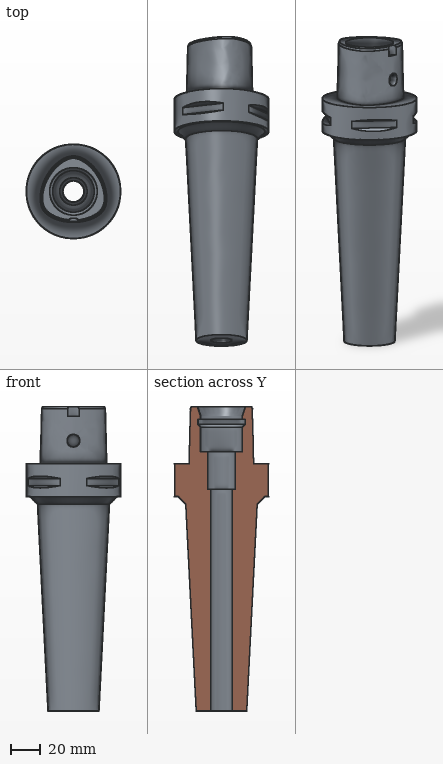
import cadquery as cq
import math


SHANK_LENGTH = 38.0
SHANK_BASE_RADIUS = 22.2
SHANK_TAPER = 1.0 / 40.0
LOBE_COUNT = 3
LOBE_HEIGHT = 1.5
EDGE_BREAK_HEIGHT = 1.5
EDGE_BREAK_WIDTH = 0.7
OUTLINE_POINTS = 36

FLANGE_RADIUS = 31.5
FLANGE_THICKNESS = 22.0
NECK_TOP_RADIUS = 29.0
BODY_TOP_RADIUS = 24.0
BODY_END_RADIUS = 17.0
NECK_HEIGHT = NECK_TOP_RADIUS - BODY_TOP_RADIUS
BODY_LENGTH = 165.0

SLOT_COUNT = 4
SLOT_FIRST_ANGLE = 45.0
SLOT_FLOOR_DISTANCE = 27.65
SLOT_FLOOR_HEIGHT = 4.7
SLOT_CENTRE_Z = -12.25
SLOT_FLANK_ANGLE = 23.0

MOUTH_RADIUS = 15.85
MOUTH_DEPTH = 6.1
GROOVE_RADIUS = 15.65
GROOVE_TOP_DEPTH = 8.5
GROOVE_WIDTH = 3.3
BOLT_BORE_RADIUS = 13.85
BOLT_BORE_DEPTH = 30.0
THREAD_RADIUS = 9.15
THREAD_LENGTH = 25.0
THROUGH_RADIUS = 7.0

SIDE_HOLE_DIAMETER = 8.4
SIDE_HOLE_Z = 15.3
SIDE_HOLE_FLOOR_DISTANCE = 14.4
NOTCH_RADIUS = 5.0
NOTCH_FLOOR_DISTANCE = 17.75
NOTCH_DEPTH = 6.4


def polygon_wire(mean_radius, z):
    """Three-lobed curve of constant width, one lobe pointing to +Y."""

    def point(turn):
        angle = 2.0 * math.pi * turn
        support = mean_radius - LOBE_HEIGHT * math.sin(LOBE_COUNT * angle)
        slope = -LOBE_COUNT * LOBE_HEIGHT * math.cos(LOBE_COUNT * angle)
        x = support * math.cos(angle) - slope * math.sin(angle)
        y = support * math.sin(angle) + slope * math.cos(angle)
        return cq.Vector(x, y, z)

    points = [point(i / OUTLINE_POINTS) for i in range(OUTLINE_POINTS)]
    return cq.Wire.assembleEdges([cq.Edge.makeSpline(points, periodic=True)])


def make_shank():
    break_z = SHANK_LENGTH - EDGE_BREAK_HEIGHT
    break_radius = SHANK_BASE_RADIUS - SHANK_TAPER * break_z
    base = polygon_wire(SHANK_BASE_RADIUS, 0.0)
    shoulder = polygon_wire(break_radius, break_z)
    tip = polygon_wire(break_radius - EDGE_BREAK_WIDTH, SHANK_LENGTH)
    taper = cq.Solid.makeLoft([base, shoulder], True)
    edge_break = cq.Solid.makeLoft([shoulder, tip], True)
    return cq.Workplane(obj=taper).union(cq.Workplane(obj=edge_break))


def revolve_profile(points):
    """Revolve (radius, z) points about the Z axis."""
    return cq.Workplane("XZ").polyline(points).close().revolve(360, (0, 0, 0), (0, 1, 0))


def make_flange_and_body():
    neck_end_z = -FLANGE_THICKNESS - NECK_HEIGHT
    return revolve_profile([
        (0, 0),
        (FLANGE_RADIUS, 0),
        (FLANGE_RADIUS, -FLANGE_THICKNESS),
        (NECK_TOP_RADIUS, -FLANGE_THICKNESS),
        (BODY_TOP_RADIUS, neck_end_z),
        (BODY_END_RADIUS, -BODY_LENGTH),
        (0, -BODY_LENGTH),
    ])


def make_bore():
    mouth_end = SHANK_LENGTH - MOUTH_DEPTH
    groove_top = SHANK_LENGTH - GROOVE_TOP_DEPTH
    groove_bottom = groove_top - GROOVE_WIDTH
    flank_end = groove_bottom - (GROOVE_RADIUS - BOLT_BORE_RADIUS)
    bolt_floor = SHANK_LENGTH - BOLT_BORE_DEPTH
    thread_end = bolt_floor - THREAD_LENGTH
    return revolve_profile([
        (0, SHANK_LENGTH),
        (MOUTH_RADIUS, SHANK_LENGTH),
        (BOLT_BORE_RADIUS, mouth_end),
        (BOLT_BORE_RADIUS, groove_top),
        (GROOVE_RADIUS, groove_top),
        (GROOVE_RADIUS, groove_bottom),
        (BOLT_BORE_RADIUS, flank_end),
        (BOLT_BORE_RADIUS, bolt_floor),
        (THREAD_RADIUS, bolt_floor),
        (THREAD_RADIUS, thread_end),
        (THROUGH_RADIUS, thread_end),
        (THROUGH_RADIUS, -BODY_LENGTH),
        (0, -BODY_LENGTH),
    ])


def make_gripper_slot():
    """Flared slot across the +X side, running tangentially right through the flange rim."""
    depth = FLANGE_RADIUS - SLOT_FLOOR_DISTANCE
    floor_half = SLOT_FLOOR_HEIGHT / 2.0
    mouth_half = floor_half + depth * math.tan(math.radians(SLOT_FLANK_ANGLE))
    profile = [
        (SLOT_FLOOR_DISTANCE, SLOT_CENTRE_Z - floor_half),
        (FLANGE_RADIUS, SLOT_CENTRE_Z - mouth_half),
        (FLANGE_RADIUS, SLOT_CENTRE_Z + mouth_half),
        (SLOT_FLOOR_DISTANCE, SLOT_CENTRE_Z + floor_half),
    ]
    return cq.Workplane("XZ").polyline(profile).close().extrude(FLANGE_RADIUS, both=True)


def make_side_hole():
    """Blind, flat-bottomed radial hole in the -Y side."""
    return (
        cq.Workplane("XZ", origin=(0, -SIDE_HOLE_FLOOR_DISTANCE, SIDE_HOLE_Z))
        .circle(SIDE_HOLE_DIAMETER / 2.0)
        .extrude(FLANGE_RADIUS)
    )


def make_notch():
    """Round-backed notch in the upper edge on the -Y side."""
    return (
        cq.Workplane("XY", origin=(0, -NOTCH_FLOOR_DISTANCE - NOTCH_RADIUS, SHANK_LENGTH))
        .circle(NOTCH_RADIUS)
        .extrude(-NOTCH_DEPTH)
    )


result = make_flange_and_body().union(make_shank())
result = result.cut(make_bore())
slot = make_gripper_slot()
for i in range(SLOT_COUNT):
    angle = SLOT_FIRST_ANGLE + i * 360.0 / SLOT_COUNT
    result = result.cut(slot.rotate((0, 0, 0), (0, 0, 1), angle))
result = result.cut(make_side_hole())
result = result.cut(make_notch())